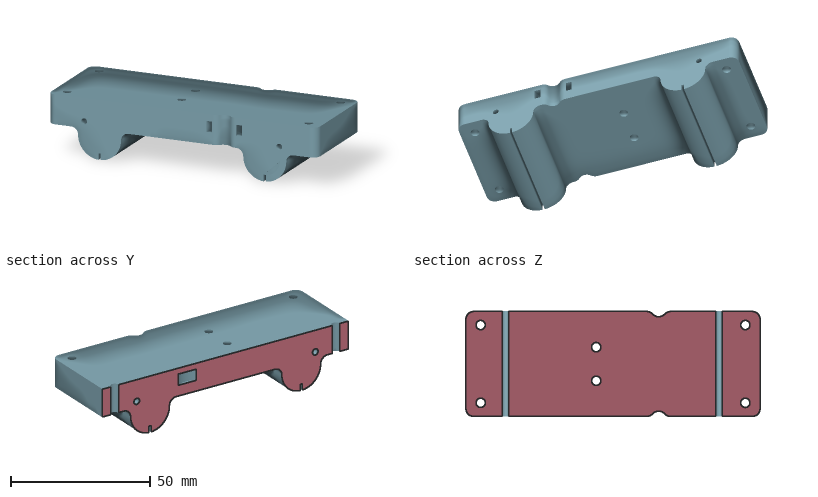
import cadquery as cq
import math

length = 106.0
width = 38.0
plate_height = 11.2
corner_radius = 3.0
front_y = -width / 2

total_height = 22.5
foot_radius = 8.5
foot_z = foot_radius - total_height
root_radius = -plate_height - foot_z
left_foot_x = -32.6
right_foot_x = 32.4
slit_width = 0.8
slit_top_radius = 12.0 / 2
segment_depth = 0.1

screw_diameter = 3.2
screw_x = length / 2 - 5.4
screw_y = width / 2 - 5.0
center_hole_x = -6.0
center_hole_y = 6.0
pin_diameter = 2.2
pin_z = -8.7
left_pin_x = -38.7
right_pin_x = 38.2

notch_x = 16.4
notch_depth = 1.9
notch_radius = 3.0
channel_inner_radius = 5.0
channel_outer_radius = 7.1
channel_top_z = -2.5
channel_height = 4.2


def make_plate():
    block = cq.Workplane("XY").box(length, width, plate_height, centered=(True, True, False))
    return block.translate((0, 0, -plate_height)).edges("|Z").fillet(corner_radius)


def make_foot(x):
    """Half-round foot whose neck flares into the plate with a concave arc on each side."""
    reach = foot_radius + root_radius
    diagonal = root_radius * (1 - math.sqrt(0.5))
    arc_x = foot_radius + diagonal
    arc_z = -plate_height - diagonal
    return (
        cq.Workplane("XZ", origin=(x, width / 2, 0))
        .moveTo(-reach, -plate_height)
        .threePointArc((-arc_x, arc_z), (-foot_radius, foot_z))
        .threePointArc((0, -total_height), (foot_radius, foot_z))
        .threePointArc((arc_x, arc_z), (reach, -plate_height))
        .close()
        .extrude(width)
    )


def make_slit(x):
    slit_top = foot_z - slit_top_radius
    slit_height = slit_top + total_height
    return cq.Workplane("XY").box(slit_width, width, slit_height).translate((x, 0, slit_top - slit_height / 2))


def make_segment_recess():
    """Shallow circular segment on the front face of the right foot."""
    diagonal = slit_top_radius * math.sqrt(0.5)
    return (
        cq.Workplane("XZ", origin=(right_foot_x, front_y + segment_depth, foot_z))
        .moveTo(-slit_width / 2, -slit_top_radius)
        .lineTo(0, -slit_top_radius)
        .threePointArc((diagonal, -diagonal), (slit_top_radius, 0))
        .close()
        .extrude(segment_depth)
    )


def make_notch():
    """Front-edge notch: a concave arc between two convex arcs of the same radius."""
    half_depth = notch_depth / 2
    join_x = math.sqrt(notch_radius**2 - (notch_radius - half_depth) ** 2)
    half_angle = math.asin(join_x / notch_radius) / 2
    mid_x = 2 * join_x - notch_radius * math.sin(half_angle)
    mid_y = notch_radius * (1 - math.cos(half_angle))
    return (
        cq.Workplane("XY", origin=(notch_x, front_y, 0))
        .moveTo(-2 * join_x, 0)
        .threePointArc((-mid_x, mid_y), (-join_x, half_depth))
        .threePointArc((0, notch_depth), (join_x, half_depth))
        .threePointArc((mid_x, mid_y), (2 * join_x, 0))
        .close()
        .extrude(-plate_height)
    )


def make_channel():
    """Ring concentric with the front notch, open at the front face on both sides of it."""
    center_y = front_y + notch_depth - notch_radius
    return (
        cq.Workplane("XY", origin=(notch_x, center_y, channel_top_z))
        .circle(channel_outer_radius)
        .circle(channel_inner_radius)
        .extrude(-channel_height)
    )


screw_points = [(sx * screw_x, sy * screw_y) for sx in (-1, 1) for sy in (-1, 1)]
center_points = [(center_hole_x, -center_hole_y), (center_hole_x, center_hole_y)]
vertical_holes = (
    cq.Workplane("XY").pushPoints(screw_points + center_points).circle(screw_diameter / 2).extrude(-total_height)
)
pin_holes = (
    cq.Workplane("XZ", origin=(0, width / 2, 0))
    .pushPoints([(left_pin_x, pin_z), (right_pin_x, pin_z)])
    .circle(pin_diameter / 2)
    .extrude(width)
)

result = make_plate()
for foot_x in (left_foot_x, right_foot_x):
    result = result.union(make_foot(foot_x)).cut(make_slit(foot_x))
for edge_cut in (make_notch(), make_channel()):
    result = result.cut(edge_cut).cut(edge_cut.mirror("XZ"))
result = result.cut(vertical_holes).cut(pin_holes).cut(make_segment_recess())